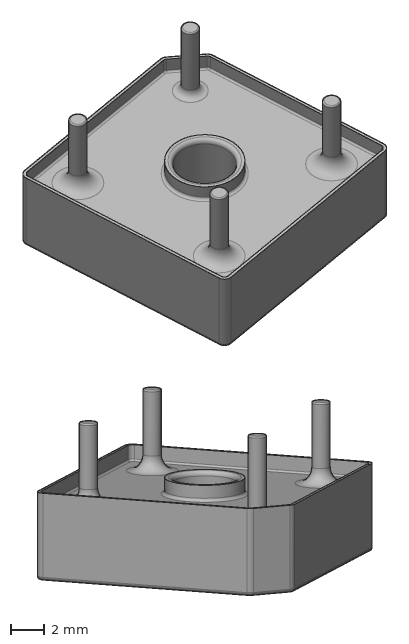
import cadquery as cq
import math

length_x = 15.75
length_y = 15.76
body_height = 5.33
overall_height = 9.33
key_chamfer = 2.0
corner_radius = 0.5
bottom_edge_radius = 0.2

rim_wall = 0.2
recess_depth = 1.0
recess_floor_radius = 0.13
floor_z = body_height - recess_depth

hole_radius = 1.89
collar_radius = 2.4
collar_height = recess_depth
collar_mouth_radius = 0.3
collar_root_radius = 0.2

pin_offset = 5.39
pin_radius = 0.55
pin_height = overall_height - floor_z
pin_tip_radius = 0.1
pin_flare = 1.0
keyed_pin_flare = 0.52


def body_block():
    """Solid block with rounded vertical corners and one chamfered key corner."""
    block = cq.Workplane("XY").rect(length_x, length_y).extrude(body_height)
    block = block.edges("|Z and <X and >Y").chamfer(key_chamfer)
    return block.edges("|Z").fillet(corner_radius)


def recess_block():
    """Volume of the recess: the body outline offset inwards, with a rounded floor edge."""
    outline = body_block().faces("<Z").wires().toPending().offset2D(-rim_wall)
    recess = outline.extrude(recess_depth, combine=False)
    recess = recess.translate((0, 0, floor_z))
    return recess.faces("<Z").edges().fillet(recess_floor_radius)


def flared_post(radius, height, flare):
    """Round post on the recess floor whose root spreads into the floor with a concave arc."""
    arc_middle = flare * (1 - math.sqrt(0.5))
    profile = (
        cq.Workplane("XZ", origin=(0, 0, floor_z))
        .lineTo(radius + flare, 0)
        .threePointArc((radius + arc_middle, arc_middle), (radius, flare))
        .lineTo(radius, height)
        .lineTo(0, height)
        .close()
    )
    return profile.revolve(360, (0, 0), (0, 1))


def hole_cylinder():
    return cq.Workplane("XY").circle(hole_radius).extrude(body_height)


def collar():
    """Flared ring with a rounded mouth."""
    ring = flared_post(collar_radius, collar_height, collar_root_radius).cut(hole_cylinder())
    mouth_edge = ring.faces(">Z").edges(cq.selectors.RadiusNthSelector(0))
    return mouth_edge.fillet(collar_mouth_radius)


def pin(flare):
    """Lead pin with a rounded tip."""
    post = flared_post(pin_radius, pin_height, flare)
    return post.faces(">Z").edges().fillet(pin_tip_radius)


result = body_block().faces("<Z").edges().fillet(bottom_edge_radius)
result = result.cut(recess_block())

result = result.cut(hole_cylinder()).union(collar())

for side_x in (-1, 1):
    for side_y in (-1, 1):
        at_key_corner = side_x < 0 < side_y
        flare = keyed_pin_flare if at_key_corner else pin_flare
        result = result.union(pin(flare).translate((side_x * pin_offset, side_y * pin_offset, 0)))